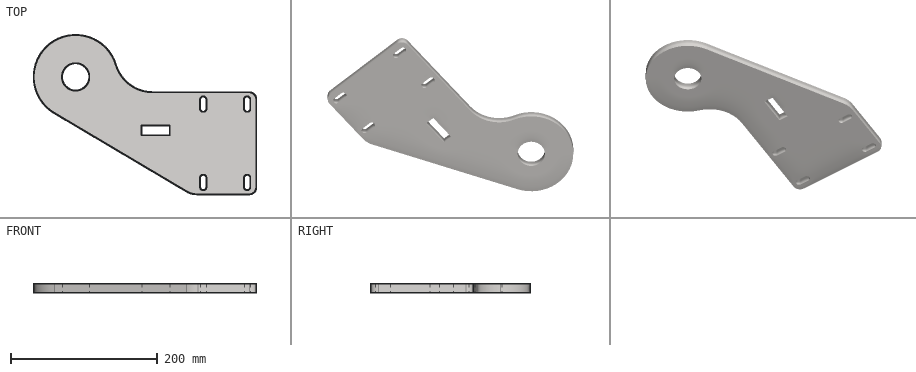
import cadquery as cq
import math

overall_length = 304.44
overall_width = 218.21
thickness = 12.7

head_radius = 57.5
pivot_diameter = 37.1

right_x = overall_length - head_radius
bottom_y = head_radius - overall_width
mount_height = 140
top_y = bottom_y + mount_height
bottom_edge_length = 88.6
corner_radius = 10

neck_radius = 52
heel_radius = 30

slot_width = 8.4
slot_length = 20.8
slot_edge_offset = 12.6
slot_pitch_x = 60
slot_pitch_y = 107

window_length = 38.4
window_width = 13
window_to_right_edge = 137.7
window_to_bottom_edge = 87.5
window_x = right_x - window_to_right_edge
window_y = bottom_y + window_to_bottom_edge


def polar(radius, angle):
    return (radius * math.cos(angle), radius * math.sin(angle))


def make_plate():
    heel_x = right_x - bottom_edge_length
    heel_distance = math.hypot(heel_x, bottom_y)
    heel_angle = math.atan2(bottom_y, heel_x)

    slope_start = polar(head_radius, heel_angle - math.acos(head_radius / heel_distance))

    neck_y = top_y + neck_radius
    neck_angle = math.asin(neck_y / (head_radius + neck_radius))
    neck_x, _ = polar(head_radius + neck_radius, neck_angle)
    neck_start = polar(head_radius, neck_angle)
    neck_end = (neck_x, top_y)
    head_direction = neck_angle + math.pi
    down_direction = 1.5 * math.pi
    neck_mid_angle = (head_direction + down_direction) / 2
    neck_dx, neck_dy = polar(neck_radius, neck_mid_angle)
    neck_mid = (neck_x + neck_dx, neck_y + neck_dy)

    plate = (
        cq.Workplane("XY")
        .moveTo(*slope_start)
        .threePointArc((-head_radius, 0), (0, head_radius))
        .threePointArc(polar(head_radius, (math.pi / 2 + neck_angle) / 2), neck_start)
        .threePointArc(neck_mid, neck_end)
        .lineTo(right_x, top_y)
        .lineTo(right_x, bottom_y)
        .lineTo(heel_x, bottom_y)
        .close()
        .extrude(thickness)
    )
    plate = plate.edges("|Z").edges(">X").fillet(corner_radius)
    heel_edge = cq.selectors.NearestToPointSelector((heel_x, bottom_y, thickness / 2))
    return plate.edges("|Z").edges(heel_edge).fillet(heel_radius)


def make_pivot_hole():
    return cq.Workplane("XY").circle(pivot_diameter / 2).extrude(thickness)


def make_window():
    return (
        cq.Workplane("XY")
        .center(window_x, window_y)
        .rect(window_length, window_width)
        .extrude(thickness)
    )


def make_slots():
    pattern_x = right_x - slot_edge_offset - slot_pitch_x / 2
    pattern_y = (top_y + bottom_y) / 2
    return (
        cq.Workplane("XY")
        .center(pattern_x, pattern_y)
        .rarray(slot_pitch_x, slot_pitch_y, 2, 2)
        .slot2D(slot_length, slot_width, 90)
        .extrude(thickness)
    )


result = make_plate().cut(make_pivot_hole()).cut(make_window()).cut(make_slots())